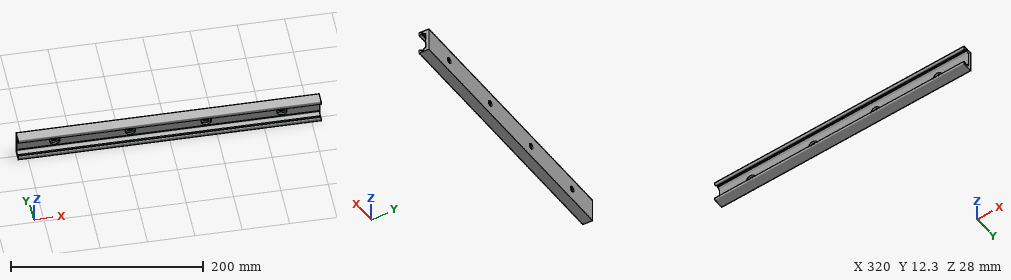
import cadquery as cq
import math

LENGTH = 320.0
THICKNESS = 12.3
HEIGHT = 28.0

WEB_THICKNESS = 4.0
FLANK_ANGLE = 30.0
FLANK_FOOT_Z = 9.2
WEB_FILLET = 1.0
LIP_INNER_FILLET = 1.0
LIP_OUTER_FILLET = 0.8

RELIEF_WIDTH = 2.0
RELIEF_FLOOR_WIDTH = 1.0
RELIEF_FLOOR_Z = 12.2

MARK_Z = -7.2
MARK_WIDTH = 0.8
MARK_DEPTH = 0.3

HOLE_COUNT = 4
HOLE_PITCH = LENGTH / HOLE_COUNT
HOLE_DIAMETER = 6.4
BORE_DIAMETER = 11.0
BORE_DEPTH = 2.5

BACK_Y = THICKNESS / 2
WEB_FACE_Y = BACK_Y - WEB_THICKNESS
LIP_FACE_Y = -THICKNESS / 2
RACEWAY_Y = (WEB_FACE_Y + LIP_FACE_Y) / 2


def extrude_along_rail(points):
    """Extrude a closed (y, z) outline over the full length, centred on X = 0."""
    return cq.Workplane("YZ").polyline(points).close().extrude(LENGTH / 2, both=True)


def fillet_mirrored_edges(bar, y, z, radius):
    """Round the two lengthwise edges at depth y and heights +z and -z."""
    for height in (z, -z):
        edge = bar.edges(cq.selectors.NearestToPointSelector((0, y, height)))
        bar = edge.fillet(radius)
    return bar


def make_channel():
    """C-shaped bar along X, open towards -Y."""
    relief_front_y = RACEWAY_Y - RELIEF_WIDTH / 2
    relief_back_y = RACEWAY_Y + RELIEF_WIDTH / 2
    flank_run = WEB_FACE_Y - relief_back_y
    flank_top_z = FLANK_FOOT_Z + flank_run * math.tan(math.radians(FLANK_ANGLE))
    upper_half = [
        (BACK_Y, HEIGHT / 2),
        (LIP_FACE_Y, HEIGHT / 2),
        (LIP_FACE_Y, FLANK_FOOT_Z),
        (relief_front_y, flank_top_z),
        (RACEWAY_Y - RELIEF_FLOOR_WIDTH / 2, RELIEF_FLOOR_Z),
        (RACEWAY_Y + RELIEF_FLOOR_WIDTH / 2, RELIEF_FLOOR_Z),
        (relief_back_y, flank_top_z),
        (WEB_FACE_Y, FLANK_FOOT_Z),
    ]
    lower_half = [(y, -z) for y, z in reversed(upper_half)]
    bar = extrude_along_rail(upper_half + lower_half)
    bar = fillet_mirrored_edges(bar, WEB_FACE_Y, FLANK_FOOT_Z, WEB_FILLET)
    bar = fillet_mirrored_edges(bar, LIP_FACE_Y, FLANK_FOOT_Z, LIP_INNER_FILLET)
    return fillet_mirrored_edges(bar, LIP_FACE_Y, HEIGHT / 2, LIP_OUTER_FILLET)


def cut_marking_groove(bar):
    """Shallow flat-bottomed groove along the web face, below the mounting holes."""
    groove = extrude_along_rail([
        (WEB_FACE_Y, MARK_Z + MARK_WIDTH / 2),
        (WEB_FACE_Y + MARK_DEPTH, MARK_Z + MARK_WIDTH / 2),
        (WEB_FACE_Y + MARK_DEPTH, MARK_Z - MARK_WIDTH / 2),
        (WEB_FACE_Y, MARK_Z - MARK_WIDTH / 2),
    ])
    return bar.cut(groove)


def drill_mounting_holes(bar):
    """Row of evenly spaced holes, counterbored from inside the channel."""
    web_face = cq.Workplane("XZ", origin=(0, WEB_FACE_Y, 0))
    return (
        bar.copyWorkplane(web_face)
        .rarray(HOLE_PITCH, HOLE_PITCH, HOLE_COUNT, 1)
        .cboreHole(HOLE_DIAMETER, BORE_DIAMETER, BORE_DEPTH)
    )


channel = make_channel()
marked_channel = cut_marking_groove(channel)
result = drill_mounting_holes(marked_channel)